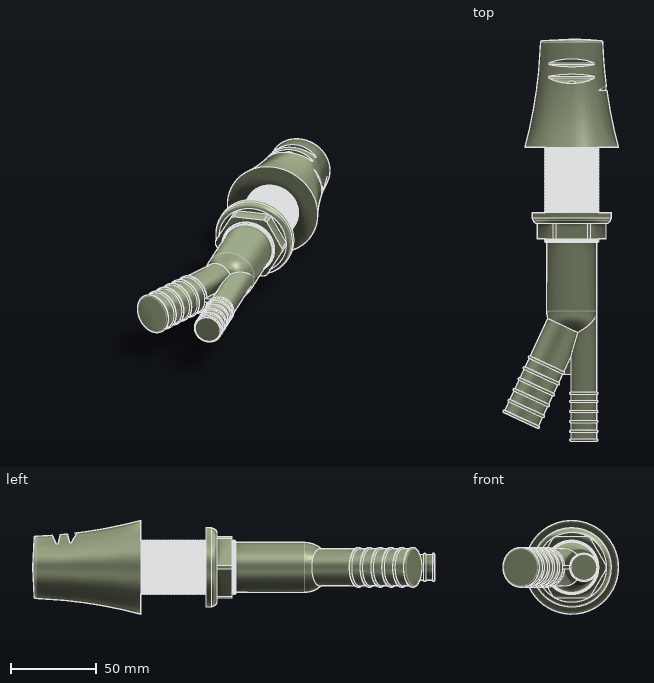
import cadquery as cq
import math


TOTAL_LENGTH = 235.14

CAP_BASE_RADIUS = 27.43
CAP_TOP_RADIUS = 18.25
CAP_HEIGHT = 63.25
CAP_DOME_RISE = 0.9
CAP_RIM_FILLET = 1.0
CAP_WALL_TOP_Y = CAP_HEIGHT - CAP_DOME_RISE - CAP_RIM_FILLET
CAP_WALL_SAG = 1.75

SLOTS = (
    (13.7, -0.7, 13.7),
    (23.1, 0.9, 14.5),
)
SLOT_FLOOR_WIDTH = 0.9
SLOT_TOP_WIDTH = 5.4
SLOT_TOP_Z = 20.0

LEDGE_DISTANCE = 29.95
LEDGE_HEIGHT = 3.0
LEDGE_DEPTH = 0.7
LEDGE_HALF_ANGLE = 36.0

THREAD_RADIUS = 15.9
THREAD_PITCH = 0.88
THREAD_DEPTH = 0.7
THREAD_END_Y = -55.5

FLANGE_Y = -38.1
FLANGE_RADIUS = 23.2
FLANGE_RIM = 3.2
FLANGE_SHOULDER_RADIUS = 22.6
FLANGE_SHOULDER = 4.6
FLANGE_FACE_RADIUS = 20.4
FLANGE_THICKNESS = 6.5
NUT_SIDES = 6
NUT_ACROSS_FLATS = 36.0
NUT_CORNER_RADIUS = 20.2
NUT_HEIGHT = 8.8

BODY_RADIUS = 14.7
BODY_END_Y = -95.6

TAIL_RADIUS = 7.6
TAIL_X = BODY_RADIUS - TAIL_RADIUS
TAIL_END_Y = CAP_HEIGHT - TOTAL_LENGTH
TAIL_RIB_HEIGHT = 0.7
TAIL_RIB_POSITIONS = (0.9, 6.0, 11.7, 17.6, 23.4, 28.2)

BRANCH_RADIUS = 10.9
BRANCH_ANGLE = 25.0
BRANCH_LENGTH = 70.6
BRANCH_RIB_HEIGHT = 0.8
BRANCH_RIB_PITCH = 7.0
BRANCH_RIB_COUNT = 6

WEB_THICKNESS = 2.2
WEB_END_Y = -132.7


def cylinder(radius, start_y, end_y):
    """Cylinder about the Y axis running from start_y down to end_y."""
    return cq.Workplane("XZ", origin=(0, start_y, 0)).circle(radius).extrude(start_y - end_y)


def revolve_about_y(profile):
    return profile.close().revolve(360, (0, 0, 0), (0, 1, 0))


def cap_wall_radius(y):
    """Radius of the hollow cap wall, close to its arc."""
    fraction = y / CAP_WALL_TOP_Y
    chord_radius = CAP_BASE_RADIUS + (CAP_TOP_RADIUS - CAP_BASE_RADIUS) * fraction
    return chord_radius - 4 * CAP_WALL_SAG * fraction * (1 - fraction)


def make_cap():
    wall_mid_y = CAP_WALL_TOP_Y / 2
    rim_y = CAP_HEIGHT - CAP_DOME_RISE
    rim_radius = CAP_TOP_RADIUS - CAP_RIM_FILLET
    fillet_mid = CAP_RIM_FILLET * (1 - math.sqrt(0.5))
    dome_radius = (rim_radius ** 2 + CAP_DOME_RISE ** 2) / (2 * CAP_DOME_RISE)
    dome_mid_x = rim_radius / 2
    dome_mid_y = CAP_HEIGHT - dome_radius + math.sqrt(dome_radius ** 2 - dome_mid_x ** 2)
    profile = (
        cq.Workplane("XY")
        .lineTo(CAP_BASE_RADIUS, 0)
        .threePointArc((cap_wall_radius(wall_mid_y), wall_mid_y), (CAP_TOP_RADIUS, CAP_WALL_TOP_Y))
        .threePointArc((CAP_TOP_RADIUS - fillet_mid, rim_y - fillet_mid), (rim_radius, rim_y))
        .threePointArc((dome_mid_x, dome_mid_y), (0, CAP_HEIGHT))
    )
    cap = revolve_about_y(profile)
    for distance, floor_offset, floor_z in SLOTS:
        cap = cap.cut(make_slot(CAP_HEIGHT - distance, floor_offset, floor_z))
    return cap.cut(make_ledge())


def make_slot(center_y, floor_offset, floor_z):
    """Tapered groove running along X, open to +Z."""
    floor_y = center_y + floor_offset
    half_floor = SLOT_FLOOR_WIDTH / 2
    half_top = SLOT_TOP_WIDTH / 2
    return (
        cq.Workplane("YZ")
        .polyline([
            (floor_y - half_floor, floor_z),
            (floor_y + half_floor, floor_z),
            (center_y + half_top, SLOT_TOP_Z),
            (center_y - half_top, SLOT_TOP_Z),
        ])
        .close()
        .extrude(CAP_BASE_RADIUS, both=True)
    )


def make_ledge():
    """Crescent cutter about +X: deepest at its flat bottom, fading out at the top and the sides."""
    bottom_y = CAP_HEIGHT - LEDGE_DISTANCE
    top_y = bottom_y + LEDGE_HEIGHT
    core_offset = LEDGE_DEPTH / (1 - math.cos(math.radians(LEDGE_HALF_ANGLE)))
    core_profile = (
        cq.Workplane("XY")
        .moveTo(0, bottom_y)
        .lineTo(cap_wall_radius(bottom_y) - LEDGE_DEPTH + core_offset, bottom_y)
        .lineTo(cap_wall_radius(top_y) + core_offset, top_y)
        .lineTo(0, top_y)
    )
    core = revolve_about_y(core_profile).translate((-core_offset, 0, 0))
    return cylinder(CAP_BASE_RADIUS, top_y, bottom_y).cut(core)


def make_shank():
    """Threaded shank, its thread modelled as V-shaped rings."""
    root = THREAD_RADIUS - THREAD_DEPTH
    ring_count = math.floor(-THREAD_END_Y / THREAD_PITCH)
    profile = cq.Workplane("XY").lineTo(root, 0)
    for ring in range(ring_count):
        profile = profile.lineTo(THREAD_RADIUS, -(ring + 0.5) * THREAD_PITCH)
        profile = profile.lineTo(root, -(ring + 1) * THREAD_PITCH)
    profile = profile.lineTo(root, THREAD_END_Y).lineTo(0, THREAD_END_Y)
    return revolve_about_y(profile)


def make_nut():
    shoulder_y = FLANGE_Y - FLANGE_SHOULDER
    face_y = FLANGE_Y - FLANGE_THICKNESS
    flange_profile = (
        cq.Workplane("XY")
        .moveTo(0, FLANGE_Y)
        .lineTo(FLANGE_RADIUS, FLANGE_Y)
        .lineTo(FLANGE_RADIUS, FLANGE_Y - FLANGE_RIM)
        .lineTo(FLANGE_SHOULDER_RADIUS, shoulder_y)
        .tangentArcPoint((FLANGE_FACE_RADIUS, face_y), relative=False)
        .lineTo(0, face_y)
    )
    hexagon = (
        cq.Workplane("XZ", origin=(0, face_y, 0))
        .polygon(NUT_SIDES, NUT_ACROSS_FLATS, circumscribed=True)
        .extrude(NUT_HEIGHT)
        .rotate((0, 0, 0), (0, 1, 0), 180 / NUT_SIDES)
        .intersect(cylinder(NUT_CORNER_RADIUS, face_y, face_y - NUT_HEIGHT))
    )
    return revolve_about_y(flange_profile).union(hexagon)


def make_body():
    end_ball = cq.Workplane("XY", origin=(0, BODY_END_Y, 0)).sphere(BODY_RADIUS)
    return cylinder(BODY_RADIUS, 0, BODY_END_Y).union(end_ball)


def make_hose_tail(radius, length, rib_height, rib_positions):
    """Solid hose tail from the origin along -Y; half-round ribs are placed from its free end."""
    tail = cylinder(radius, 0, -length)
    for position in rib_positions:
        rib_y = position - length
        rib_profile = (
            cq.Workplane("XY")
            .moveTo(0, rib_y + rib_height)
            .lineTo(radius, rib_y + rib_height)
            .threePointArc((radius + rib_height, rib_y), (radius, rib_y - rib_height))
            .lineTo(0, rib_y - rib_height)
        )
        tail = tail.union(revolve_about_y(rib_profile))
    return tail


def make_straight_tail():
    length = BODY_END_Y - TAIL_END_Y
    tail = make_hose_tail(TAIL_RADIUS, length, TAIL_RIB_HEIGHT, TAIL_RIB_POSITIONS)
    return tail.translate((TAIL_X, BODY_END_Y, 0))


def make_branch():
    rib_positions = [BRANCH_RIB_HEIGHT + rib * BRANCH_RIB_PITCH for rib in range(BRANCH_RIB_COUNT)]
    branch = make_hose_tail(BRANCH_RADIUS, BRANCH_LENGTH, BRANCH_RIB_HEIGHT, rib_positions)
    return branch.rotate((0, 0, 0), (0, 0, 1), -BRANCH_ANGLE).translate((0, BODY_END_Y, 0))


def make_web():
    branch_x = (WEB_END_Y - BODY_END_Y) * math.tan(math.radians(BRANCH_ANGLE))
    return (
        cq.Workplane("XY")
        .polyline([(0, BODY_END_Y), (TAIL_X, BODY_END_Y), (TAIL_X, WEB_END_Y), (branch_x, WEB_END_Y)])
        .close()
        .extrude(WEB_THICKNESS / 2, both=True)
    )


result = (
    make_cap()
    .union(make_shank())
    .union(make_nut())
    .union(make_body())
    .union(make_straight_tail())
    .union(make_branch())
    .union(make_web())
)